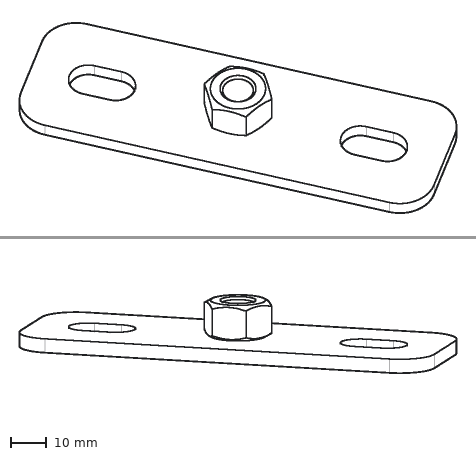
import cadquery as cq
import math

plate_length = 120.0
plate_width = 40.0
plate_thickness = 4.0
corner_radius = 10.0

slot_length = 19.0
slot_width = 11.0
slot_offset = 39.5

overall_height = 14.0
nut_height = overall_height - plate_thickness
across_flats = 17.0
across_corners = across_flats / math.cos(math.pi / 6)
face_diameter = 15.4
chamfer_angle = math.radians(30)
bore_diameter = 8.5
bore_mouth_diameter = 10.0


def make_plate():
    """Rounded plate with one slot near each end."""
    plate = (
        cq.Workplane("XY")
        .box(plate_length, plate_width, plate_thickness, centered=(True, True, False))
        .edges("|Z")
        .fillet(corner_radius)
    )
    slots = (
        cq.Workplane("XY")
        .pushPoints([(-slot_offset, 0), (slot_offset, 0)])
        .slot2D(slot_length, slot_width)
        .extrude(plate_thickness)
    )
    return plate.cut(slots)


def make_nut():
    """Nut with conical corner chamfers on both ends and a countersunk bore."""
    hexagon = cq.Workplane("XY").polygon(6, across_corners).extrude(nut_height)

    corner_radius_of_nut = across_corners / 2
    face_radius = face_diameter / 2
    chamfer_height = (corner_radius_of_nut - face_radius) * math.tan(chamfer_angle)
    chamfer_envelope = (
        cq.Workplane("XZ")
        .polyline([
            (0, 0),
            (face_radius, 0),
            (corner_radius_of_nut, chamfer_height),
            (corner_radius_of_nut, nut_height - chamfer_height),
            (face_radius, nut_height),
            (0, nut_height),
        ])
        .close()
        .revolve(360, (0, 0, 0), (0, 1, 0))
    )

    bore = cq.Workplane("XY").circle(bore_diameter / 2).extrude(nut_height)
    mouth_depth = (bore_mouth_diameter - bore_diameter) / 2
    return (
        hexagon.intersect(chamfer_envelope)
        .cut(bore)
        .faces(">Z")
        .edges("%CIRCLE")
        .edges(cq.selectors.RadiusNthSelector(0))
        .chamfer(mouth_depth)
    )


nut = make_nut().translate((0, 0, plate_thickness))
result = make_plate().union(nut)